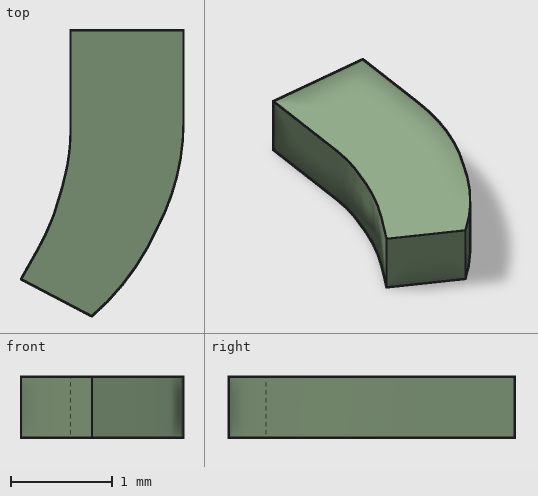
import cadquery as cq

length = 2.81
width = 1.6
thickness = 0.6

arm_width = 1.113
inner_straight = 1.028
outer_straight = 0.9

tip_inner = (arm_width - width, -length + 0.365)
tip_outer = (0.21, -length)

inner_bend_start = (0, -inner_straight)
inner_bend_points = [(-0.07, -1.505), (-0.17, -1.83)]
inner_bend_end = (-0.318, -2.147)
flat_direction = (inner_bend_end[0] - tip_inner[0], inner_bend_end[1] - tip_inner[1])
arm_direction = (0, 1)

outer_bend_joint = (0.851, -1.947)
flatter_bend_middle = (0.672, -2.28)

result = (
    cq.Workplane("XY")
    .lineTo(arm_width, 0)
    .lineTo(arm_width, -outer_straight)
    .tangentArcPoint(outer_bend_joint, relative=False)
    .threePointArc(flatter_bend_middle, tip_outer)
    .lineTo(*tip_inner)
    .lineTo(*inner_bend_end)
    .spline(
        [*reversed(inner_bend_points), inner_bend_start],
        tangents=[flat_direction, arm_direction],
        includeCurrent=True,
    )
    .close()
    .extrude(thickness)
)